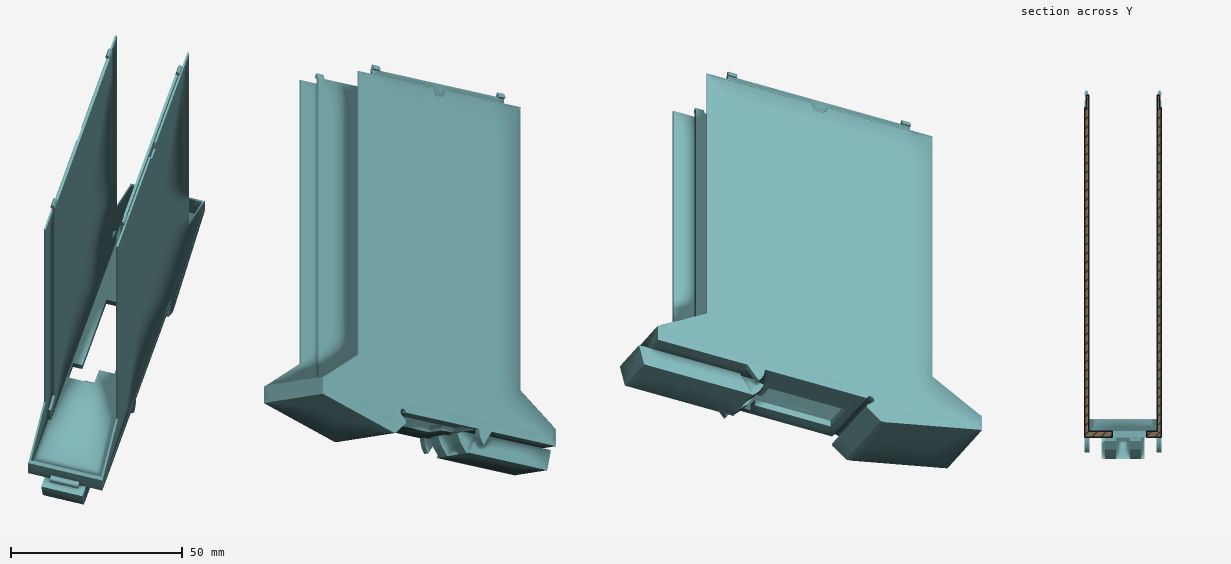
import cadquery as cq
HALF_WIDTH = 11.3
MIDDLE_Y = 1.7
TRAY_FRONT_Y = -51.0
TRAY_BACK_Y = 54.6
RAIL_Z = 6.7
END_TOP_Z = 11.6
END_WALL = 0.9
FLOOR_Z = 8.6

WALL_INNER_X = 10.7
WALL_HALF_LENGTH = 36.7
WALL_BACK_Y = MIDDLE_Y + WALL_HALF_LENGTH
WALL_FRONT_Y = MIDDLE_Y - WALL_HALF_LENGTH
WALL_TOP_Z = 104.8
SHOULDER_Z = 20.8
NOTCH_DEPTH = 2.1
NOTCH_HALF_TOP = 2.7
NOTCH_HALF_BOTTOM = 1.9

PANEL_INNER_X = 10.0
PANEL_HALF_LENGTH = 29.7
PANEL_TOP_Z = 106.5
PANEL_FOOT_HALF_LENGTH = 33.9
PANEL_FLARE_TOP_Z = 15.2
PANEL_FLARE_BOTTOM_Z = 13.4

CATCH_LENGTH = 2.8
CATCH_TOP_Z = 107.8
CATCH_OUTER_TOP_Z = 107.0
CATCH_BOTTOM_Z = 106.5
CATCH_ROOT_Z = 106.2
CATCH_RIDGE_OUTER_X = 10.8
CATCH_RIDGE_INNER_X = 10.4

FOOT_BACK_Z = 6.8
FOOT_HEEL_Y = 23.0
FOOT_TOE_Y = 21.6
FOOT_TIP_LOWER = (17.7, 3.1)
FOOT_TIP = (17.0, 3.9)
FOOT_TIP_UPPER = (17.7, 4.7)
FOOT_NOTCH_LOWER = (19.5, 6.2)
FOOT_NOTCH_CROWN = (18.8, 7.5)
FOOT_NOTCH_UPPER = (17.2, RAIL_Z)

STEP_Y = 18.9
STEP_RADIUS = 1.0
FOOT_FLOOR_Z = FLOOR_Z - STEP_RADIUS
BACK_BEVEL_Y = 52.2
FRONT_BEVEL_Y = -48.6

RECESS_DEPTH = 0.1
RIM_HEIGHT = 0.3
RECESS_BACK_Y = TRAY_BACK_Y - END_WALL
RECESS_FRONT_Y = TRAY_FRONT_Y + END_WALL
SHOULDER_SLOPE = (SHOULDER_Z - END_TOP_Z) / (TRAY_BACK_Y - WALL_BACK_Y)
RECESS_END_TOP_Z = END_TOP_Z + SHOULDER_SLOPE * END_WALL
RECESS_HEEL = (24.3, 3.1)
RECESS_STEP = (19.5, FLOOR_Z)
RECESS_BACK_Z = 9.6

LUG_INNER_X = 9.7
LUG_BACK_Y = -16.2
LUG_FRONT_Y = -21.9
LUG_TIP = (-18.1, 2.3)
LUG_BULGE = (-16.7, 4.3)

SLOT_LEFT_X = -6.8
SLOT_RIGHT_X = 3.1
SLOT_BACK_Y = 14.3
SLOT_FRONT_Y = -10.7
POCKET_LEFT_X = -9.6
POCKET_RIGHT_X = -1.6
POCKET_BACK_Y = -10.4
POCKET_FRONT_Y = -15.8

CLIP_HALF_WIDTH = 6.2
PRONG_OUTER_X = 5.2
PRONG_INNER_X = 2.1
CLIP_BOTTOM_Z = 0.4
CLIP_FRONT_Y = -54.6
CLIP_FRONT_BOTTOM_Y = -53.0
CLIP_HEEL_Y = -17.6
PRONG_MIDDLE = (-14.9, 3.2)
PRONG_TIP = (-13.4, 5.7)
PRONG_TOP_Y = -16.2
TAB_HALF_WIDTH = 4.3
TAB_TOP = (-51.8, 8.3)
TAB_NOSE = (-52.7, 7.5)
TAB_BOTTOM = (-52.2, RAIL_Z)

SIDES = (-1, 1)


def extrude_across(outline, x_from, x_to):
    """Extrude an outline in the YZ plane from one X to another."""
    start = min(x_from, x_to)
    return outline.extrude(abs(x_to - x_from)).translate((start, 0, 0))


def profile(points):
    return cq.Workplane("YZ").polyline(points).close()


def wall_top_edge(drop=0):
    """Points along a wall's notched top edge, from back to front, lowered by `drop`."""
    top_z = WALL_TOP_Z - drop
    notch_z = top_z - NOTCH_DEPTH
    return [
        (WALL_BACK_Y, top_z),
        (MIDDLE_Y + NOTCH_HALF_TOP, top_z),
        (MIDDLE_Y + NOTCH_HALF_BOTTOM, notch_z),
        (MIDDLE_Y - NOTCH_HALF_BOTTOM, notch_z),
        (MIDDLE_Y - NOTCH_HALF_TOP, top_z),
        (WALL_FRONT_Y, top_z),
    ]


def outer_block():
    """Side outline of the housing, solid across its full width."""
    outline = (
        cq.Workplane("YZ")
        .polyline(wall_top_edge())
        .lineTo(WALL_FRONT_Y, SHOULDER_Z)
        .lineTo(TRAY_FRONT_Y, END_TOP_Z)
        .lineTo(TRAY_FRONT_Y, RAIL_Z)
        .lineTo(*FOOT_NOTCH_UPPER)
        .threePointArc(FOOT_NOTCH_CROWN, FOOT_NOTCH_LOWER)
        .lineTo(*FOOT_TIP_UPPER)
        .threePointArc(FOOT_TIP, FOOT_TIP_LOWER)
        .lineTo(FOOT_TOE_Y, 0)
        .lineTo(FOOT_HEEL_Y, 0)
        .lineTo(TRAY_BACK_Y, FOOT_BACK_Z)
        .lineTo(TRAY_BACK_Y, END_TOP_Z)
        .lineTo(WALL_BACK_Y, SHOULDER_Z)
        .close()
    )
    return extrude_across(outline, -HALF_WIDTH, HALF_WIDTH)


def cavity():
    """Space between the side walls, closed at both ends by the tray's low end walls."""
    outline = (
        cq.Workplane("YZ")
        .moveTo(RECESS_FRONT_Y, WALL_TOP_Z)
        .lineTo(RECESS_FRONT_Y, RECESS_END_TOP_Z)
        .lineTo(FRONT_BEVEL_Y, FLOOR_Z)
        .lineTo(STEP_Y, FLOOR_Z)
        .radiusArc((STEP_Y + STEP_RADIUS, FOOT_FLOOR_Z), -STEP_RADIUS)
        .lineTo(BACK_BEVEL_Y, FOOT_FLOOR_Z)
        .lineTo(RECESS_BACK_Y, RECESS_END_TOP_Z)
        .lineTo(RECESS_BACK_Y, WALL_TOP_Z)
        .close()
    )
    return extrude_across(outline, -WALL_INNER_X, WALL_INNER_X)


def side_recess(side):
    """Shallow recess that sets the face of a side wall back from the tray's side."""
    outline = profile(wall_top_edge(RIM_HEIGHT) + [
        (WALL_FRONT_Y, SHOULDER_Z),
        (RECESS_FRONT_Y, RECESS_END_TOP_Z),
        (RECESS_FRONT_Y, FLOOR_Z),
        RECESS_STEP,
        RECESS_HEEL,
        (RECESS_BACK_Y, RECESS_BACK_Z),
        (RECESS_BACK_Y, RECESS_END_TOP_Z),
        (WALL_BACK_Y, SHOULDER_Z),
    ])
    return extrude_across(outline, side * (HALF_WIDTH - RECESS_DEPTH), side * HALF_WIDTH)


def guide_panel(side):
    back_half = [
        (PANEL_HALF_LENGTH, PANEL_TOP_Z),
        (PANEL_HALF_LENGTH, PANEL_FLARE_TOP_Z),
        (PANEL_FOOT_HALF_LENGTH, PANEL_FLARE_BOTTOM_Z),
        (PANEL_FOOT_HALF_LENGTH, FLOOR_Z),
    ]
    points = [(MIDDLE_Y + y, z) for y, z in back_half]
    points += [(MIDDLE_Y - y, z) for y, z in reversed(back_half)]
    return extrude_across(profile(points), side * PANEL_INNER_X, side * WALL_INNER_X)


def catches(side):
    """Two snap catches, one at each end of a guide panel's top edge."""
    section = [
        (PANEL_INNER_X, PANEL_TOP_Z),
        (CATCH_RIDGE_INNER_X, CATCH_TOP_Z),
        (CATCH_RIDGE_OUTER_X, CATCH_TOP_Z),
        (HALF_WIDTH, CATCH_OUTER_TOP_Z),
        (HALF_WIDTH, CATCH_BOTTOM_Z),
        (WALL_INNER_X, CATCH_ROOT_Z),
        (PANEL_INNER_X, CATCH_ROOT_Z),
    ]
    catch = (
        cq.Workplane("XZ")
        .polyline([(side * x, z) for x, z in section])
        .close()
        .extrude(CATCH_LENGTH / 2, both=True)
    )
    offset = PANEL_HALF_LENGTH - CATCH_LENGTH / 2
    back_catch = catch.translate((0, MIDDLE_Y + offset, 0))
    front_catch = catch.translate((0, MIDDLE_Y - offset, 0))
    return back_catch.union(front_catch)


def lug(side):
    outline = (
        cq.Workplane("YZ")
        .moveTo(LUG_FRONT_Y, RAIL_Z)
        .lineTo(*LUG_TIP)
        .threePointArc(LUG_BULGE, (LUG_BACK_Y, RAIL_Z))
        .close()
    )
    return extrude_across(outline, side * LUG_INNER_X, side * HALF_WIDTH)


def floor_opening():
    """Long slot that ends in a wider, sideways shifted pocket above the clip's prong."""
    points = [
        (SLOT_LEFT_X, SLOT_BACK_Y),
        (SLOT_RIGHT_X, SLOT_BACK_Y),
        (SLOT_RIGHT_X, SLOT_FRONT_Y),
        (POCKET_RIGHT_X, SLOT_FRONT_Y),
        (POCKET_RIGHT_X, POCKET_FRONT_Y),
        (POCKET_LEFT_X, POCKET_FRONT_Y),
        (POCKET_LEFT_X, POCKET_BACK_Y),
        (SLOT_LEFT_X, POCKET_BACK_Y),
    ]
    floor = cq.Workplane("XY").workplane(offset=RAIL_Z)
    return floor.polyline(points).close().extrude(FLOOR_Z - RAIL_Z)


def make_housing():
    body = outer_block().cut(cavity())
    for side in SIDES:
        body = body.cut(side_recess(side)).union(guide_panel(side))
        body = body.union(catches(side)).union(lug(side))
    return body.cut(floor_opening()).solids()


def slide():
    outline = profile([
        (LUG_FRONT_Y, RAIL_Z),
        (CLIP_HEEL_Y, CLIP_BOTTOM_Z),
        (CLIP_FRONT_BOTTOM_Y, CLIP_BOTTOM_Z),
        (CLIP_FRONT_Y, RAIL_Z),
    ])
    return extrude_across(outline, -CLIP_HALF_WIDTH, CLIP_HALF_WIDTH)


def prong(side):
    """One of the two hooks that catch the rail's edge."""
    outline = profile([
        (LUG_FRONT_Y, RAIL_Z),
        (CLIP_HEEL_Y, CLIP_BOTTOM_Z),
        PRONG_MIDDLE,
        PRONG_TIP,
        (PRONG_TOP_Y, RAIL_Z),
    ])
    return extrude_across(outline, side * PRONG_INNER_X, side * PRONG_OUTER_X)


def tab():
    """Rounded ridge on top of the slide, in front of the tray's front wall."""
    outline = (
        cq.Workplane("YZ")
        .moveTo(TRAY_FRONT_Y, RAIL_Z)
        .lineTo(TRAY_FRONT_Y, TAB_TOP[1])
        .lineTo(*TAB_TOP)
        .threePointArc(TAB_NOSE, TAB_BOTTOM)
        .close()
    )
    return extrude_across(outline, -TAB_HALF_WIDTH, TAB_HALF_WIDTH)


def make_clip():
    body = slide().union(tab())
    for side in SIDES:
        body = body.union(prong(side))
    return body.solids()


housing = make_housing()
clip = make_clip()

result = cq.Compound.makeCompound([housing.val(), clip.val()])